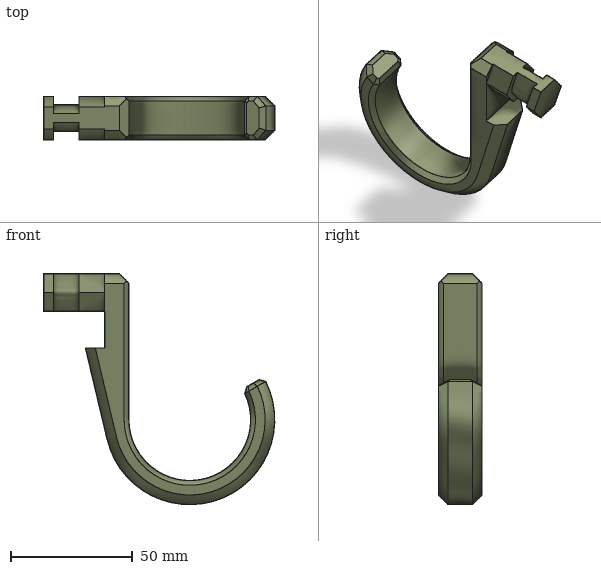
import cadquery as cq
import math

width = 18.0
inner_radius = 25.0
outer_radius = 35.0
top_height = 60.0
tip_angle = math.radians(30)
outer_chamfer = 4.0
inner_chamfer = 2.0
ledge_overhang = 8.0
ledge_gap = 15.0

bar_end_x = -60.0
head_length = 4.1
waist_length = 10.4
waist_radius = 5.5
hex_flats = width * math.cos(math.radians(30))
bar_z = top_height - hex_flats / 2

ledge_x = -outer_radius - ledge_overhang
ledge_z = top_height - hex_flats - ledge_gap
tolerance = 0.01


def polar(radius, angle):
    return (radius * math.cos(angle), radius * math.sin(angle))


def edges_through(body, points):
    """Side-face edges passing through the given (x, z) points."""
    picked = []
    for edge in body.faces("|Y").edges().vals():
        for x, z in points:
            for y in (-width / 2, width / 2):
                if edge.distance(cq.Vertex.makeVertex(x, y, z)) < tolerance:
                    picked.append(edge)
    return body.newObject(picked)


def make_hook():
    ledge_angle = math.atan2(ledge_z, ledge_x)
    tangent_angle = ledge_angle + math.acos(outer_radius / math.hypot(ledge_x, ledge_z))
    tangent_point = polar(outer_radius, tangent_angle)
    arc_bottom = -math.pi / 2
    profile = (
        cq.Workplane("XZ")
        .moveTo(-outer_radius, top_height)
        .lineTo(-outer_radius, ledge_z)
        .lineTo(ledge_x, ledge_z)
        .lineTo(*tangent_point)
        .threePointArc(polar(outer_radius, arc_bottom), polar(outer_radius, tip_angle))
        .lineTo(*polar(inner_radius, tip_angle))
        .threePointArc(polar(inner_radius, arc_bottom), (-inner_radius, 0))
        .lineTo(-inner_radius, top_height - outer_chamfer)
        .lineTo(-inner_radius - outer_chamfer, top_height)
        .close()
    )
    body = profile.extrude(width / 2, both=True)

    back_middle = ((ledge_x + tangent_point[0]) / 2, (ledge_z + tangent_point[1]) / 2)
    back_points = [back_middle, polar(outer_radius, arc_bottom)]
    body = edges_through(body, back_points).chamfer(outer_chamfer)

    inner_points = [(-inner_radius, top_height / 2), polar(inner_radius, arc_bottom)]
    body = edges_through(body, inner_points).chamfer(inner_chamfer)

    tip_normal = cq.Vector(-math.sin(tip_angle), 0, math.cos(tip_angle))
    body = body.faces(cq.selectors.ParallelDirSelector(tip_normal)).edges().chamfer(inner_chamfer)
    return body.cut(top_corner_cutter())


def top_corner_cutter():
    """Triangular bars that bevel both long edges of the top face."""
    half = width / 2
    corner = (
        cq.Workplane("YZ", origin=(-outer_radius, 0, 0))
        .moveTo(half, top_height)
        .lineTo(half - outer_chamfer, top_height)
        .lineTo(half, top_height - outer_chamfer)
        .close()
        .extrude(outer_radius - inner_radius)
    )
    return corner.union(corner.mirror("XZ"))


def hex_bar(start_x, length):
    return (
        cq.Workplane("YZ", origin=(start_x, 0, bar_z))
        .polygon(6, width)
        .extrude(length)
    )


def make_waist(start_x):
    side_y, side_z = polar(waist_radius, math.radians(30))
    half_height = hex_flats / 2
    flat_y = side_y - (half_height - side_z) * math.tan(math.radians(30))
    return (
        cq.Workplane("YZ", origin=(start_x, 0, bar_z))
        .moveTo(-flat_y, half_height)
        .lineTo(flat_y, half_height)
        .lineTo(side_y, side_z)
        .threePointArc((waist_radius, 0), (side_y, -side_z))
        .lineTo(flat_y, -half_height)
        .lineTo(-flat_y, -half_height)
        .lineTo(-side_y, -side_z)
        .threePointArc((-waist_radius, 0), (-side_y, side_z))
        .close()
        .extrude(waist_length)
    )


waist_x = bar_end_x + head_length
shoulder_x = waist_x + waist_length
result = (
    make_hook()
    .union(hex_bar(bar_end_x, head_length))
    .union(make_waist(waist_x))
    .union(hex_bar(shoulder_x, -outer_radius - shoulder_x))
)